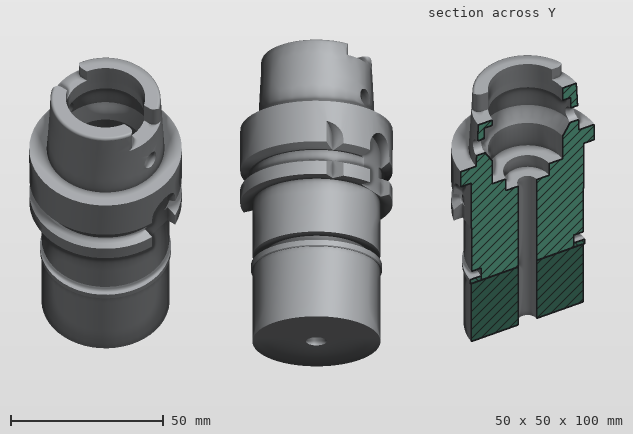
import cadquery as cq
import math

TOTAL_HEIGHT = 100.0
SLEEVE_TOP = 24.9
RING_TOP = 27.0
BODY_BOTTOM = 30.2
FLANGE_BOTTOM = 49.0
FLANGE_TOP = 75.0

FLANGE_RADIUS = 25.0
BODY_RADIUS = 20.9
NECK_RADIUS = 17.4
SLEEVE_RADIUS = 21.0
RING_RADIUS = 21.5
RING_CHAMFER = 0.3

TAPER_BASE_RADIUS = 19.3
TAPER_SLOPE = 1 / 20
TAPER_TOP_RADIUS = TAPER_BASE_RADIUS - TAPER_SLOPE * (TOTAL_HEIGHT - FLANGE_TOP)
TAPER_RIM_FILLET = 1.0

GROOVE_RADIUS = 21.5
GROOVE_LOW = 55.2
GROOVE_HIGH = 59.0
GROOVE_FLANK_RADIUS = 22.3
GROOVE_FLANK_ANGLE = 30
GROOVE_FLANK_HEIGHT = (FLANGE_RADIUS - GROOVE_FLANK_RADIUS) * math.tan(math.radians(GROOVE_FLANK_ANGLE))

MOUTH_RADIUS = 13.0
MOUTH_DEPTH = 10.0
CHAMBER_RADIUS = 16.0
CHAMBER_BOTTOM = 79.8
CHAMBER_CONE_ANGLE = 30
CHAMBER_CONE_HEIGHT = (CHAMBER_RADIUS - MOUTH_RADIUS) / math.tan(math.radians(CHAMBER_CONE_ANGLE))
CAVITY_FLOOR = 65.0
COUNTERBORE_RADIUS = 8.0
COUNTERBORE_DEPTH = 5.0
COOLANT_RADIUS = 3.4

ACCESS_HOLE_RADIUS = 3.0
ACCESS_HOLE_HEIGHT = 82.5

KEYWAY_WIDTH = 10.5
KEYWAY_DEPTH_LEFT = 4.5
KEYWAY_DEPTH_RIGHT = 7.5
KEYWAY_CORNER_RADIUS = 2.3
KEYWAY_RELIEF_X = 16.4

SLOT_WIDTH = 12.1
SLOT_ARC_HEIGHT = 62.2
SLOT_FLOOR_X = 21.0
NOTCH_FLOOR_X = 15.7
NOTCH_CENTER_Y = 21.4


def cylinder(radius, bottom, top):
    """Solid cylinder on the tool axis between two heights."""
    return cq.Workplane("XY").workplane(offset=bottom).circle(radius).extrude(top - bottom)


def slot_cutter(center_y, floor_x, side):
    """Cutter outside |X| = floor_x on one side, open below the flange and round at its upper end."""
    half = SLOT_WIDTH / 2
    return (
        cq.Workplane("YZ", origin=(side * floor_x, 0, 0))
        .moveTo(center_y - half, FLANGE_BOTTOM)
        .lineTo(center_y - half, SLOT_ARC_HEIGHT)
        .threePointArc((center_y, SLOT_ARC_HEIGHT + half), (center_y + half, SLOT_ARC_HEIGHT))
        .lineTo(center_y + half, FLANGE_BOTTOM)
        .close()
        .extrude(side * FLANGE_RADIUS)
    )


def revolved_holder():
    """Neck, body, grooved flange and taper as one turned profile."""
    profile = [
        (0, SLEEVE_TOP),
        (NECK_RADIUS, SLEEVE_TOP),
        (NECK_RADIUS, BODY_BOTTOM),
        (BODY_RADIUS, BODY_BOTTOM),
        (BODY_RADIUS, FLANGE_BOTTOM),
        (FLANGE_RADIUS, FLANGE_BOTTOM),
        (FLANGE_RADIUS, GROOVE_LOW - GROOVE_FLANK_HEIGHT),
        (GROOVE_FLANK_RADIUS, GROOVE_LOW),
        (GROOVE_RADIUS, GROOVE_LOW),
        (GROOVE_RADIUS, GROOVE_HIGH),
        (GROOVE_FLANK_RADIUS, GROOVE_HIGH),
        (FLANGE_RADIUS, GROOVE_HIGH + GROOVE_FLANK_HEIGHT),
        (FLANGE_RADIUS, FLANGE_TOP),
        (TAPER_BASE_RADIUS, FLANGE_TOP),
        (TAPER_TOP_RADIUS, TOTAL_HEIGHT),
        (0, TOTAL_HEIGHT),
    ]
    turned = cq.Workplane("XZ").polyline(profile).close().revolve(360, (0, 0, 0), (0, 1, 0))
    return turned.faces(">Z").edges().fillet(TAPER_RIM_FILLET)


def cavity():
    """Bore with a wide clamping chamber, then a counterbore and the coolant hole below it."""
    chamber_top = TOTAL_HEIGHT - MOUTH_DEPTH
    chamber_cone = cq.Workplane("XY").add(
        cq.Solid.makeCone(
            MOUTH_RADIUS,
            CHAMBER_RADIUS,
            CHAMBER_CONE_HEIGHT,
            cq.Vector(0, 0, CHAMBER_BOTTOM - CHAMBER_CONE_HEIGHT),
        )
    )
    counterbore_bottom = CAVITY_FLOOR - COUNTERBORE_DEPTH
    return (
        cylinder(MOUTH_RADIUS, CAVITY_FLOOR, TOTAL_HEIGHT)
        .union(cylinder(CHAMBER_RADIUS, CHAMBER_BOTTOM, chamber_top))
        .union(chamber_cone)
        .union(cylinder(COUNTERBORE_RADIUS, counterbore_bottom, CAVITY_FLOOR))
        .union(cylinder(COOLANT_RADIUS, SLEEVE_TOP, counterbore_bottom))
    )


def keyway_cutter(side, depth):
    """Keyway through one side of the taper rim, rounded into a flat relief across the full width."""
    half = KEYWAY_WIDTH / 2
    round_start = KEYWAY_RELIEF_X - KEYWAY_CORNER_RADIUS
    round_end = half + KEYWAY_CORNER_RADIUS
    arc_offset = KEYWAY_CORNER_RADIUS / math.sqrt(2)
    arc_x = round_start + arc_offset
    arc_y = round_end - arc_offset
    return (
        cq.Workplane("XY", origin=(0, 0, TOTAL_HEIGHT - depth))
        .moveTo(0, -half)
        .lineTo(side * round_start, -half)
        .threePointArc((side * arc_x, -arc_y), (side * KEYWAY_RELIEF_X, -round_end))
        .lineTo(side * KEYWAY_RELIEF_X, -FLANGE_RADIUS)
        .lineTo(side * FLANGE_RADIUS, -FLANGE_RADIUS)
        .lineTo(side * FLANGE_RADIUS, FLANGE_RADIUS)
        .lineTo(side * KEYWAY_RELIEF_X, FLANGE_RADIUS)
        .lineTo(side * KEYWAY_RELIEF_X, round_end)
        .threePointArc((side * arc_x, arc_y), (side * round_start, half))
        .lineTo(0, half)
        .close()
        .extrude(depth)
    )


def make_holder():
    """Tool holder with its cavity, keyways, flange slots, notch and access hole."""
    holder = revolved_holder().cut(cavity())
    for side, depth in ((-1, KEYWAY_DEPTH_LEFT), (1, KEYWAY_DEPTH_RIGHT)):
        holder = holder.cut(keyway_cutter(side, depth))
        holder = holder.cut(slot_cutter(0, SLOT_FLOOR_X, side))
    holder = holder.cut(slot_cutter(NOTCH_CENTER_Y, NOTCH_FLOOR_X, -1))
    access_hole = (
        cq.Workplane("YZ")
        .center(0, ACCESS_HOLE_HEIGHT)
        .circle(ACCESS_HOLE_RADIUS)
        .extrude(FLANGE_RADIUS, both=True)
    )
    return holder.cut(access_hole)


def make_ring():
    """Ring around the neck, chamfered on its lower outer edge."""
    disc = cylinder(RING_RADIUS, SLEEVE_TOP, RING_TOP).faces("<Z").edges().chamfer(RING_CHAMFER)
    return disc.cut(cylinder(NECK_RADIUS, SLEEVE_TOP, RING_TOP))


def make_sleeve():
    """Lower sleeve, pierced by the coolant hole."""
    return cylinder(SLEEVE_RADIUS, 0, SLEEVE_TOP).cut(cylinder(COOLANT_RADIUS, 0, SLEEVE_TOP))


holder = make_holder()
ring = make_ring()
sleeve = make_sleeve()

result = cq.Compound.makeCompound([holder.val(), ring.val(), sleeve.val()])